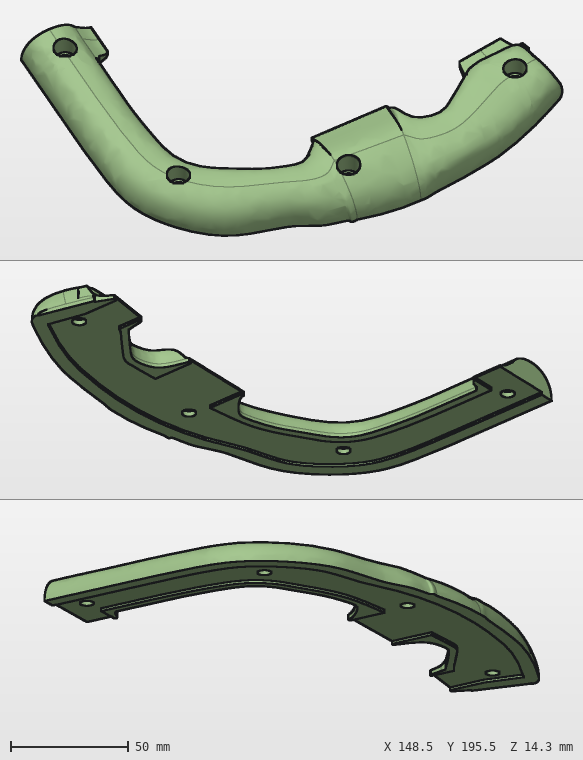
import cadquery as cq
import math


ARM_HEIGHT = 13.0
PALM_HEIGHT = 14.34
PALM_END_HEIGHT = 13.6
RIM_HEIGHT = 1.9
PLATE_DEPTH = 1.3

HOLE_DIAMETER = 6.0
COUNTERBORE_DIAMETER = 9.0
COUNTERBORE_MOUTH_DIAMETER = 10.0
COUNTERBORE_FLOOR = 4.0
HOLE_CENTRES = [(12.0, 14.9), (95.6, 24.5), (126.1, 90.5), (113.5, 178.1)]

OUTER_MARGIN = 6.6
INNER_MARGIN = 4.0

LOWER_MOUTH = [(0.0, OUTER_MARGIN), (14.0, OUTER_MARGIN), (14.0, 34.0), (0.0, 34.0)]
PALM_MOUTH = [(97.0, 89.6), (120.0, 89.6), (120.0, 122.9), (97.0, 122.9)]
UPPER_MOUTH = [(88.0, 182.9), (110.0, 182.9), (110.0, 164.2), (88.0, 164.2)]

ROUND = 0.6
FULL = 0.72
SOFT = 0.3

PALM_START = ((97.6, 88.0), (144.7, 84.6))
PALM_MIDDLE = ((97.6, 106.0), (147.8, 100.5))
PALM_END = ((97.6, 124.3), (148.45, 113.5))

LOWER_STATIONS = [
    ((0.0, 27.3), (0.0, 0.0)),
    ((3.0, 27.3), (3.0, 0.0)),
    ((20.0, 27.2), (20.0, 0.0)),
    ((38.0, 27.2), (38.0, 0.0)),
    ((55.0, 27.5), (56.0, 0.0)),
    ((70.0, 28.8), (76.0, 0.7)),
    ((82.0, 31.5), (96.0, 4.8)),
    ((90.5, 37.5), (113.0, 16.0)),
    ((97.0, 47.0), (125.5, 31.0)),
    ((103.3, 57.5), (132.7, 52.5)),
    ((107.6, 68.0), (138.7, 66.5)),
    ((109.2, 75.5), (142.2, 76.5)),
    ((105.6, 82.2), (143.8, 81.5)),
]
UPPER_STATIONS = [
    ((105.0, 126.2), (148.0, 119.0)),
    ((111.5, 130.0), (147.2, 126.0)),
    ((114.2, 136.5), (146.4, 134.5)),
    ((113.8, 142.5), (145.4, 142.0)),
    ((110.0, 148.5), (144.0, 151.0)),
    ((104.0, 156.5), (141.7, 160.0)),
    ((99.0, 163.5), (138.3, 170.0)),
    ((97.5, 172.0), (134.7, 178.5)),
]
END_TURN = math.radians(80)
UPPER_END_STATIONS = [
    ((97.2, 181.0), (130.3, 188.0)),
    ((96.9, 185.5), (128.2, 192.0)),
    ((96.6, 187.7), (125.7, 194.5)),
    ((96.4, 188.5), (122.5, 194.9)),
]

LOWER_LIP_OUTLINE = [
    (0.0, 34.0), (15.0, 34.0), (16.3, 32.5), (17.6, 28.5), (19.5, 27.0), (19.5, 14.5), (0.0, 14.5)
]
LOWER_LIP_EDGE = ((15.0, 34.0), (0.0, 34.0))
UPPER_LIP_OUTLINE = [
    (88.7, 184.5), (97.0, 188.0), (104.0, 190.0), (104.0, 160.0), (98.0, 161.5), (92.3, 162.6), (91.4, 163.2)
]
UPPER_LIP_EDGE = ((88.7, 184.5), (91.4, 163.2))

LOWER_LIP_CURVE = [(0.0, 2.0), (5.0, 3.2), (10.0, 10.5), (17.0, 12.3)]
UPPER_LIP_CURVE = [(0.0, 2.0), (8.0, 2.2), (8.5, 3.0), (12.0, 9.0)]
LIP_ROOT = 20.0
LIP_REACH = 40.0


def section(station, height, crown=0.5, outer_round=ROUND, inner_round=ROUND, inner_lean=0.0):
    """Closed upright wire over one station: flat base, inner rim and two rounded sides.

    crown is the share of the width from the outer foot to the highest point;
    inner_lean tips the inner side from upright (0) towards a straight slope (1).
    """
    (inner_x, inner_y), (outer_x, outer_y) = station

    def at(share, z):
        return cq.Vector(outer_x + share * (inner_x - outer_x), outer_y + share * (inner_y - outer_y), z)

    rise = height - RIM_HEIGHT
    inner_width = 1 - crown
    top = at(crown, height)
    rim = at(1, RIM_HEIGHT)
    outer_side = cq.Edge.makeBezier([
        at(0, 0), at(0, outer_round * height), at(crown * (1 - outer_round), height), top
    ])
    inner_side = cq.Edge.makeBezier([
        top,
        at(crown + inner_round * inner_width, height),
        at(1 - inner_lean * inner_round * inner_width, RIM_HEIGHT + inner_round * rise),
        rim,
    ])
    return cq.Wire.assembleEdges([
        outer_side, inner_side, cq.Edge.makeLine(rim, at(1, 0)), cq.Edge.makeLine(at(1, 0), at(0, 0))
    ])


def palm_section(station, height):
    return section(station, height, inner_round=SOFT, inner_lean=1.0)


def smooth_loft(wires):
    return cq.occ_impl.shapes.loft(wires, cap=True, parametrization="chordal")


def lower_arm():
    wires = [section(station, ARM_HEIGHT) for station in LOWER_STATIONS]
    wires.append(palm_section(PALM_START, PALM_END_HEIGHT))
    return smooth_loft(wires)


def palm():
    return smooth_loft([
        palm_section(PALM_START, PALM_END_HEIGHT),
        palm_section(PALM_MIDDLE, PALM_HEIGHT),
        palm_section(PALM_END, PALM_END_HEIGHT),
    ])


def upper_grip():
    wires = [palm_section(PALM_END, PALM_END_HEIGHT)]
    for station in UPPER_STATIONS:
        wires.append(section(station, ARM_HEIGHT, outer_round=FULL, inner_round=FULL))
    last = len(UPPER_END_STATIONS) - 1
    for index, station in enumerate(UPPER_END_STATIONS):
        turn = END_TURN * index / last
        wires.append(section(station, ARM_HEIGHT * math.cos(turn), outer_round=FULL, inner_round=FULL))
    return smooth_loft(wires)


def prism(outline, height):
    return cq.Workplane("XY").polyline(outline).close().extrude(height)


def lip(outline, edge, curve):
    """Concave lip: a profile swept along the lip edge and trimmed to its plan outline."""
    start, end = (cq.Vector(*point) for point in edge)
    up = cq.Vector(0, 0, 1)
    along = (end - start).normalized()
    plane = cq.Plane(origin=(start + end) * 0.5, xDir=up.cross(along), normal=along)
    blank = (
        cq.Workplane(plane)
        .moveTo(*curve[0])
        .bezier(curve)
        .lineTo(LIP_ROOT, curve[-1][1])
        .lineTo(LIP_ROOT, 0)
        .lineTo(0, 0)
        .close()
        .extrude(LIP_REACH, both=True)
    )
    return blank.intersect(prism(outline, ARM_HEIGHT))


def plate_recess():
    """Shallow pocket in the flat face that follows the grip at a margin from its sides."""
    stations = LOWER_STATIONS[:-1] + UPPER_STATIONS[2:] + UPPER_END_STATIONS[:1]
    inner_rail = []
    outer_rail = []
    for inner_foot, outer_foot in stations:
        inner = cq.Vector(*inner_foot)
        outer = cq.Vector(*outer_foot)
        across = (outer - inner).normalized()
        inner_rail.append((inner + across * INNER_MARGIN).toTuple()[:2])
        outer_rail.append((outer - across * OUTER_MARGIN).toTuple()[:2])
    pocket = (
        cq.Workplane("XY")
        .moveTo(*inner_rail[0])
        .spline(inner_rail[1:], includeCurrent=True)
        .lineTo(*outer_rail[-1])
        .spline(outer_rail[-2::-1], includeCurrent=True)
        .close()
        .extrude(PLATE_DEPTH)
    )
    for outline in (LOWER_MOUTH, PALM_MOUTH, UPPER_MOUTH):
        pocket = pocket.union(prism(outline, PLATE_DEPTH))
    return pocket


def screw_holes():
    through = cq.Workplane("XY").pushPoints(HOLE_CENTRES).circle(HOLE_DIAMETER / 2).extrude(PALM_HEIGHT)
    counterbore = cq.Solid.makeCone(
        COUNTERBORE_DIAMETER / 2,
        COUNTERBORE_MOUTH_DIAMETER / 2,
        ARM_HEIGHT - COUNTERBORE_FLOOR,
        pnt=cq.Vector(0, 0, COUNTERBORE_FLOOR),
    )
    clearance = cq.Solid.makeCylinder(
        COUNTERBORE_MOUTH_DIAMETER / 2, PALM_HEIGHT - ARM_HEIGHT, pnt=cq.Vector(0, 0, ARM_HEIGHT)
    )
    for x, y in HOLE_CENTRES:
        place = cq.Vector(x, y, 0)
        through = through.union(cq.Workplane(counterbore.fuse(clearance).translate(place)))
    return through


result = cq.Workplane(palm()).union(cq.Workplane(lower_arm())).union(cq.Workplane(upper_grip()))
result = result.union(lip(LOWER_LIP_OUTLINE, LOWER_LIP_EDGE, LOWER_LIP_CURVE))
result = result.union(lip(UPPER_LIP_OUTLINE, UPPER_LIP_EDGE, UPPER_LIP_CURVE))
result = result.cut(plate_recess()).cut(screw_holes()).solids()